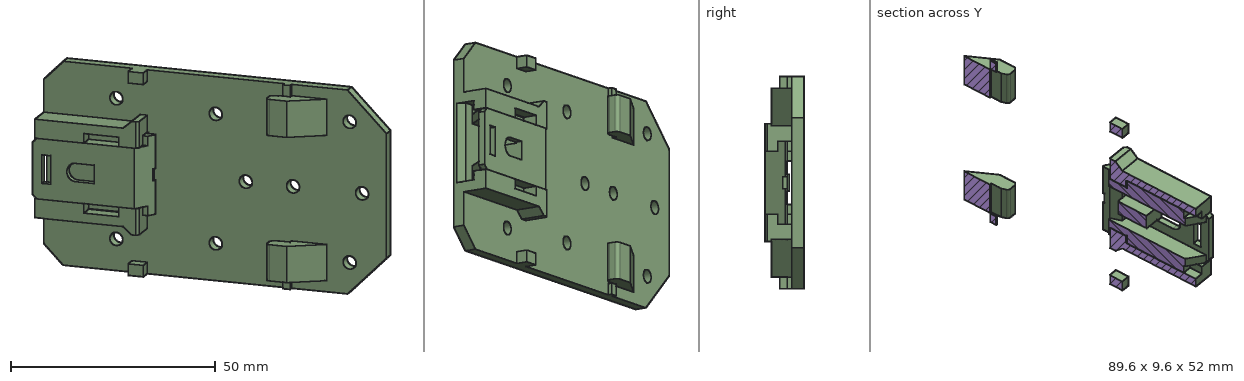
import cadquery as cq
import math


plate_length = 89.0
plate_height = 52.0
plate_thickness = 3.05
left_corner = 5.0
right_corner = 10.1

hole_diameter = 3.3
center_hole_x = (52.45, 64.7, 82.7)
hole_pairs = ((18.8, 17.9), (44.65, 16.5), (79.4, 17.9))

lug_start = 22.95
lug_depth = 6.0
lug_height = 3.0
rib_start = 62.5

hook_tip = 59.4
hook_root = 64.4
hook_flat_end = 64.8
hook_end = 73.5
hook_inner = 13.9
hook_outer = 23.1
hook_gap_depth = 4.1
hook_depth = 8.0
hook_neck_start = 61.3
hook_radius = 0.9
underside_angle = math.radians(20)

full_depth = 9.6
rail_end = 26.9
rail_inner = 7.7
rail_outer = 12.55
flare_outer = 14.4
flare_end = 25.1
rail_chamfer = 0.6
groove_outer = 9.95
groove_depth = lug_depth
window_start = 12.7
window_end = 21.8
window_outer = 10.1
lead_in_depth = 0.9
lead_in_length = 0.8

latch_overhang = 0.6
latch_corner = 1.1
sheet_depth = 7.9
skirt_inner = 5.3
skirt_start = 3.7
flange_end = 21.5
slope_angle = math.radians(36)
slope_start = 25.9
tongue_tip = 29.5
tongue_tip_depth = full_depth - (tongue_tip - slope_start) / math.tan(slope_angle)
tongue_gap_depth = hook_gap_depth
tongue_wall_depth = 5.2
foot_end = 27.25
tongue_wall = foot_end - (tongue_wall_depth - tongue_gap_depth) / math.tan(underside_angle)
wing_depth = 6.45
notch_start = 29.05
notch_width = 3.0
slot_start = 1.9
slot_end = 4.1
slot_width = 7.3
thumb_start = 8.3
thumb_end = 15.4
thumb_width = 4.7
stop_depth = 3.6
stop_width = 4.1


def block(x_range, depth_range, z_range):
    """Box between two X values, two depths in front of the back face, and two Z values."""
    (x0, x1), (d0, d1), (z0, z1) = x_range, depth_range, z_range
    return cq.Workplane("XY").box(x1 - x0, d1 - d0, z1 - z0, centered=False).translate((x0, -d1, z0))


def profile_prism(points, z0, z1):
    """Prism along Z from (X, depth) points."""
    outline = [(x, -depth) for x, depth in points]
    return cq.Workplane("XY").workplane(offset=z0).polyline(outline).close().extrude(z1 - z0)


def front_prism(points, depth_range):
    """Prism between two depths from (X, Z) points."""
    near, far = depth_range
    return cq.Workplane("XZ").workplane(offset=near).polyline(points).close().extrude(far - near)


def both_sides(shape):
    """The shape together with its mirror image below the centre line."""
    return shape.union(shape.mirror("XY"))


def slope_x(depth):
    """X of the latch's sloping end at a depth."""
    return slope_start + (full_depth - depth) * math.tan(slope_angle)


def make_base():
    half = plate_height / 2
    upper = [
        (0, half - left_corner),
        (left_corner, half),
        (plate_length - right_corner, half),
        (plate_length, half - right_corner),
    ]
    lower = [(x, -z) for x, z in reversed(upper)]
    base = front_prism(upper + lower, (0, plate_thickness))
    return base.union(edge_lugs()).union(hooks()).union(rails()).cut(lead_in()).cut(screw_holes())


def screw_holes():
    centers = [(x, 0) for x in center_hole_x]
    centers += [(x, side * z) for x, z in hole_pairs for side in (1, -1)]
    return cq.Workplane("XZ").pushPoints(centers).circle(hole_diameter / 2).extrude(plate_thickness)


def edge_lugs():
    half = plate_height / 2
    lug = block((lug_start, rail_end), (0, lug_depth), (half - lug_height, half))
    rib = block((rib_start, hook_root), (0, hook_gap_depth), (hook_outer, half))
    return both_sides(lug.union(rib))


def hooks():
    tip_depth = hook_gap_depth + (hook_neck_start - hook_tip) * math.tan(underside_angle)
    profile = [
        (hook_root, plate_thickness),
        (hook_root, hook_gap_depth),
        (hook_neck_start, hook_gap_depth),
        (hook_tip, tip_depth),
        (hook_tip, hook_depth),
        (hook_flat_end, hook_depth),
        (hook_end, plate_thickness),
    ]
    hook = profile_prism(profile, hook_inner, hook_outer)
    return both_sides(hook.edges("|Z").edges("<X").fillet(hook_radius))


def rails():
    outline = [
        (0, rail_inner),
        (0, rail_outer),
        (lug_start, rail_outer),
        (flare_end, flare_outer),
        (rail_end, flare_outer),
        (rail_end, rail_inner),
    ]
    rail = front_prism(outline, (plate_thickness, full_depth))
    rail = rail.faces("<Y").edges(">X").chamfer(rail_chamfer)
    groove = block((0, window_end), (plate_thickness, groove_depth), (rail_inner, groove_outer))
    window = block((window_start, window_end), (groove_depth, full_depth), (rail_inner, window_outer))
    return both_sides(rail.cut(groove).cut(window))


def lead_in():
    """Bevel on the plate's edge between the grooves."""
    bevel = [(0, lead_in_depth), (lead_in_length, plate_thickness), (0, plate_thickness)]
    return profile_prism(bevel, -groove_outer, groove_outer)


def make_latch():
    latch = sheet().union(tongue()).union(stop())
    latch = latch.union(both_sides(skirt().union(flange()).union(wing())))
    return latch.cut(grip_slot()).cut(thumb_hole()).cut(tip_notch())


def sheet():
    outline = [(-latch_overhang, sheet_depth), (slope_x(sheet_depth), sheet_depth)]
    outline += [(slope_start, full_depth), (-latch_overhang, full_depth)]
    plain = profile_prism(outline, -rail_inner, rail_inner)
    return plain.edges("|Y").edges("<X").chamfer(latch_corner)


def tongue():
    """Sloping end of the latch, with a gently rising underside."""
    outline = [
        (tongue_wall, sheet_depth),
        (tongue_wall, tongue_wall_depth),
        (foot_end, tongue_gap_depth),
        (tongue_tip, tongue_gap_depth),
        (tongue_tip, tongue_tip_depth),
        (slope_x(sheet_depth), sheet_depth),
    ]
    return profile_prism(outline, -rail_inner, rail_inner)


def skirt():
    """Side wall behind the sheet, reaching the plate."""
    skirt_lean = (sheet_depth - plate_thickness) * math.tan(slope_angle)
    outline = [
        (skirt_start - skirt_lean, sheet_depth),
        (skirt_start, plate_thickness),
        (foot_end, plate_thickness),
        (slope_x(sheet_depth), sheet_depth),
    ]
    return profile_prism(outline, skirt_inner, rail_inner)


def flange():
    """Runner that slides in the groove of a rail."""
    return block((skirt_start, flange_end), (plate_thickness, groove_depth), (rail_inner, groove_outer))


def wing():
    """Barb behind the end of a rail."""
    outline = [
        (rail_end, plate_thickness),
        (foot_end, plate_thickness),
        (foot_end, tongue_gap_depth),
        (tongue_tip, tongue_gap_depth),
        (tongue_tip, tongue_tip_depth),
        (slope_x(wing_depth), wing_depth),
        (rail_end, wing_depth),
    ]
    return profile_prism(outline, rail_inner, window_outer)


def stop():
    """Block behind the sheet, between the thumb hole and the tongue."""
    return block((thumb_end, tongue_wall), (stop_depth, sheet_depth), (-stop_width / 2, stop_width / 2))


def grip_slot():
    return block((slot_start, slot_end), (sheet_depth, full_depth), (-slot_width / 2, slot_width / 2))


def thumb_hole():
    """Hole through the sheet, round at its -X end."""
    radius = thumb_width / 2
    outline = cq.Workplane("XZ").workplane(offset=sheet_depth).moveTo(thumb_end, radius)
    outline = outline.lineTo(thumb_start + radius, radius)
    outline = outline.threePointArc((thumb_start, 0), (thumb_start + radius, -radius))
    return outline.lineTo(thumb_end, -radius).close().extrude(full_depth - sheet_depth)


def tip_notch():
    depths = (tongue_gap_depth, full_depth)
    return block((notch_start, tongue_tip), depths, (-notch_width / 2, notch_width / 2))


base = make_base()
latch = make_latch()
result = cq.Compound.makeCompound([base.solids().val(), latch.solids().val()])